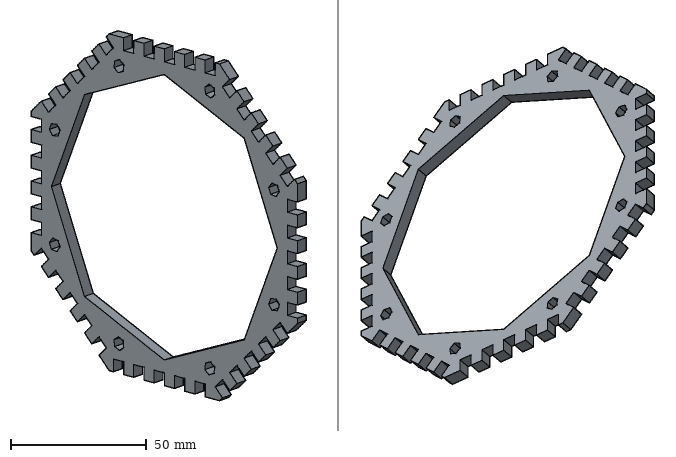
import cadquery as cq
import math

thickness = 5.0
root_side = 50.0
notch_size = 5.0
notch_pitch = 10.0
notch_count = 5
rim_inset = 5.0
hole_corner_diameter = 5.2
side_count = 8
hole_sides = 6

side_angle = 360.0 / side_count
half_angle = side_angle / 2
root_apothem = root_side / 2 / math.tan(math.radians(half_angle))
outer_apothem = root_apothem + notch_size
outer_corner_diameter = 2 * outer_apothem / math.cos(math.radians(half_angle))
opening_corner_radius = root_apothem - rim_inset
opening_apothem = opening_corner_radius * math.cos(math.radians(half_angle))
root_corner_radius = root_apothem / math.cos(math.radians(half_angle))
hole_offset = (root_corner_radius + opening_apothem) / 2
last_notch_center = root_side / 2 - notch_size / 2


def centered_prism(sides, corner_diameter):
    """Regular prism on the plate axis, with a corner on +X."""
    sketch = cq.Workplane("XZ").polygon(sides, corner_diameter)
    return sketch.extrude(thickness / 2, both=True)


def turned(shape, angle):
    """Turn a shape about the plate axis (Y)."""
    return shape.rotate((0, 0, 0), (0, 1, 0), angle)


def side_notches():
    """The row of square notches along the +Z side."""
    centers = [
        (last_notch_center - i * notch_pitch, outer_apothem - notch_size / 2)
        for i in range(notch_count)
    ]
    sketch = cq.Workplane("XZ").pushPoints(centers).rect(notch_size, notch_size)
    return sketch.extrude(thickness / 2, both=True)


def corner_hole():
    """Hexagonal through hole on the +X axis, with a flat facing outward."""
    hole = turned(centered_prism(hole_sides, hole_corner_diameter), 180.0 / hole_sides)
    return hole.translate((hole_offset, 0, 0))


plate = turned(centered_prism(side_count, outer_corner_diameter), half_angle)
plate = plate.cut(centered_prism(side_count, 2 * opening_corner_radius))
for side in range(side_count):
    plate = plate.cut(turned(side_notches(), side * side_angle))
    plate = plate.cut(turned(corner_hole(), half_angle + side * side_angle))

result = plate